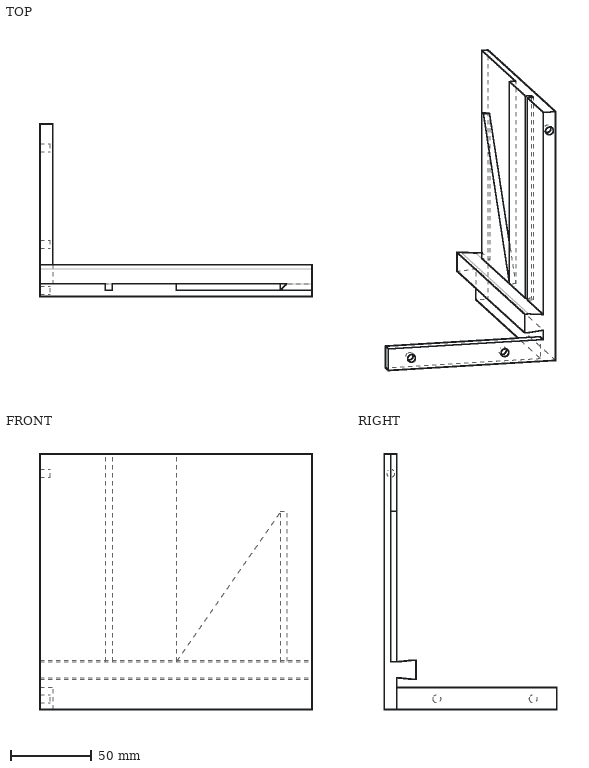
import cadquery as cq
import math

plate_width = 170.0
plate_height = 160.0
plate_thickness = 8.0

overall_depth = 108.0
foot_width = plate_thickness
foot_height = 14.0

rail_center_z = 25.0
rail_root_width = 10.0
rail_reach = 12.0
rail_land = 2.5
rail_flank_angle = 6.0

recess_depth = 3.9
groove_left = 40.8
groove_width = 4.2
pocket_left = 85.0
pocket_bottom = rail_center_z + rail_root_width / 2

wedge_run = 65.3
wedge_angle = 55.2

hole_diameter = 5.0
hole_depth = 6.0
foot_hole_inset = 15.0
foot_hole_spacing = 60.2
plate_hole_inset = 12.0

recess_floor = plate_thickness - recess_depth


def corner_box(size, corner):
    return cq.Workplane("XY").box(*size, centered=False).translate(corner)


def dovetail_rail():
    flank_length = rail_reach - rail_land
    root_half = rail_root_width / 2
    tip_half = root_half + flank_length * math.tan(math.radians(rail_flank_angle))
    flank_end = plate_thickness + flank_length
    tip = plate_thickness + rail_reach
    profile = [
        (recess_floor, rail_center_z - root_half),
        (plate_thickness, rail_center_z - root_half),
        (flank_end, rail_center_z - tip_half),
        (tip, rail_center_z - tip_half),
        (tip, rail_center_z + tip_half),
        (flank_end, rail_center_z + tip_half),
        (plate_thickness, rail_center_z + root_half),
        (recess_floor, rail_center_z + root_half),
    ]
    return cq.Workplane("YZ").polyline(profile).close().extrude(plate_width)


def back_recess(left, width):
    """Cutter that opens the back face from the pocket bottom up to the top edge."""
    height = plate_height - pocket_bottom
    return corner_box((width, recess_depth, height), (left, recess_floor, pocket_bottom))


def pocket_wedge():
    wedge_rise = wedge_run * math.tan(math.radians(wedge_angle))
    flat_start = pocket_left + wedge_run
    flat_end = flat_start + recess_depth
    profile = [
        (pocket_left, pocket_bottom),
        (flat_end, pocket_bottom),
        (flat_end, pocket_bottom + wedge_rise),
        (flat_start, pocket_bottom + wedge_rise),
    ]
    back_plane = cq.Workplane("XZ", origin=(0, plate_thickness, 0))
    wedge = back_plane.polyline(profile).close().extrude(recess_depth)
    slanted_end = [
        (flat_start, recess_floor),
        (flat_end, recess_floor),
        (flat_end, plate_thickness),
    ]
    end_cutter = cq.Workplane("XY").polyline(slanted_end).close().extrude(plate_height)
    return wedge.cut(end_cutter)


def side_hole(y, z):
    return cq.Workplane("YZ").center(y, z).circle(hole_diameter / 2).extrude(hole_depth)


plate = corner_box((plate_width, plate_thickness, plate_height), (0, 0, 0))
plate = plate.cut(back_recess(groove_left, groove_width))
plate = plate.cut(back_recess(pocket_left, plate_width - pocket_left))

foot = corner_box((foot_width, overall_depth, foot_height), (0, 0, 0))
result = plate.union(pocket_wedge()).union(foot).union(dovetail_rail())

rear_hole_y = overall_depth - foot_hole_inset
hole_positions = [
    (rear_hole_y, foot_height / 2),
    (rear_hole_y - foot_hole_spacing, foot_height / 2),
    (plate_thickness / 2, plate_height - plate_hole_inset),
]
for y, z in hole_positions:
    result = result.cut(side_hole(y, z))